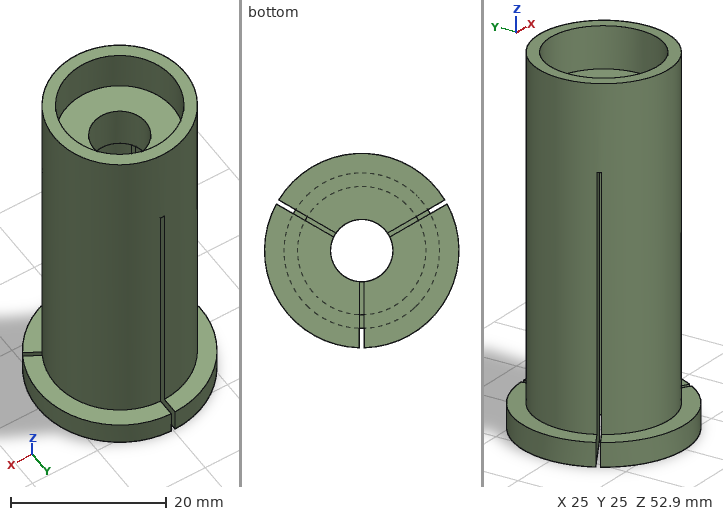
import cadquery as cq

height = 52.9
flange_diameter = 25.0
flange_thickness = 3.5
tube_diameter = 20.0
socket_diameter = 16.5
bore_diameter = 8.0

core_recess = 6.1

slit_count = 3
slit_width = 0.6
slit_height = 40.35
first_slit_angle = 90.0

shoulder_height = slit_height
core_thickness = height - core_recess - shoulder_height


def make_slit(angle):
    """Radial slit from the axis to the flange rim, open at the bottom."""
    slit_length = flange_diameter / 2 + slit_width
    return (
        cq.Workplane("XY")
        .box(slit_length, slit_width, slit_height, centered=(False, True, False))
        .rotate((0, 0, 0), (0, 0, 1), angle)
    )


def make_sleeve():
    """Flanged tube with a stepped bore and slits evenly spaced around its axis."""
    flange = cq.Workplane("XY").circle(flange_diameter / 2).extrude(flange_thickness)
    tube = cq.Workplane("XY").circle(tube_diameter / 2).extrude(height)
    bore = cq.Workplane("XY").circle(bore_diameter / 2).extrude(height)
    socket = (
        cq.Workplane("XY", origin=(0, 0, shoulder_height))
        .circle(socket_diameter / 2)
        .extrude(height - shoulder_height)
    )
    sleeve = flange.union(tube).cut(bore).cut(socket)
    for index in range(slit_count):
        angle = first_slit_angle + index * 360.0 / slit_count
        sleeve = sleeve.cut(make_slit(angle))
    return sleeve


def make_core():
    """Plain ring filling the lower part of the socket, its hole in line with the bore."""
    return (
        cq.Workplane("XY", origin=(0, 0, shoulder_height))
        .circle(socket_diameter / 2)
        .circle(bore_diameter / 2)
        .extrude(core_thickness)
    )


sleeve = make_sleeve()
core = make_core()

result = cq.Compound.makeCompound([sleeve.val(), core.val()])